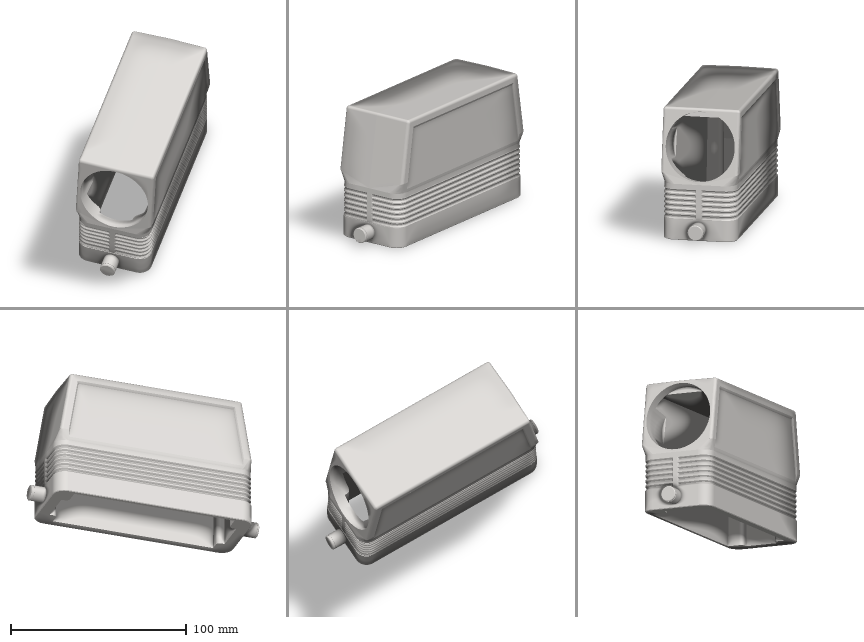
import cadquery as cq
import math

tolerance = 0.01

length = 138.2
hood_width = 45.0
height = 76.0

base_top = 12.2
ribs_top = 30.0
neck_top = 32.8
hood_bottom = 39.1

base_width, base_length = 43.1, 120.2
neck_width, neck_length = 42.5, 119.4
rib_width, rib_length = 43.1, 119.4
corner_radius = 6.9
base_chamfer = 0.4

groove_count = 6
groove_depth = 0.8
groove_floor = 0.7
rib_land = 0.7
groove_pitch = (ribs_top - base_top) / groove_count
band_width = 2.9

end_slope = math.tan(math.radians(9.5))
end_crown = 0.48
roof_crown = 0.21
edge_radius = 1.7

panel_depth = 0.8
panel_top = 71.3
panel_border = 5.5
panel_wall_run = 1.4
panel_side_ratio = 0.7

entry_diameter = 40.4
entry_height = 54.3
entry_rim_depth = 6.9
entry_depth = 20.7
entry_run_out = 6.9

cavity_roof = 69.7
cavity_left = 18.0
cavity_right = 15.5
cavity_draft = 1.2
end_wall = 6.6
post_gap = 19.6
post_top = 59.3
post_radius = 2.3

pin_diameter = 9.0
pin_height = 6.6
pin_groove_diameter = 8.4
pin_groove_width = 0.4
pin_groove_from_tip = 1.2
pin_tip_chamfer = 0.4
pin_neck_diameter = 8.3
pin_neck_length = 0.4
pin_embed = 1.4


def loft_outlines(lower, upper):
    """Straight-sided solid between two (width, depth, radius, z) rounded rectangles."""
    sketches = []
    for width, depth, radius, z in (lower, upper):
        sketch = cq.Sketch().rect(width, depth).vertices().fillet(radius)
        sketches.append(sketch.moved(cq.Location(cq.Vector(0, 0, z))))
    return cq.Workplane("XY").placeSketch(*sketches).loft(ruled=True)


def slab(width, depth, z0, z1):
    """Upright block with the body's rounded corners, from level z0 to z1."""
    return loft_outlines((width, depth, corner_radius, z0), (width, depth, corner_radius, z1))


def loft_polygons(first, second):
    """Flat-sided solid between two polygons given as lists of (x, y, z) corners."""
    wires = []
    for points in (first, second):
        wires.append(cq.Wire.makePolygon([cq.Vector(*point) for point in points], close=True))
    return cq.Workplane(obj=cq.Solid.makeLoft(wires, True))


def end_face_y(z):
    """Distance of the end ridge from the middle of the part at level z."""
    return neck_length / 2 - (z - neck_top) * end_slope


def make_base():
    return slab(base_width, base_length, 0, base_top).faces("<Z").chamfer(base_chamfer)


def make_ribs():
    """Grip zone, stacked one groove at a time from rib top to rib top."""
    outer = (rib_width, rib_length, corner_radius)
    inner = (
        rib_width - 2 * groove_depth,
        rib_length - 2 * groove_depth,
        corner_radius - groove_depth,
    )
    flank = (groove_pitch - groove_floor - rib_land) / 2
    ribs = cq.Workplane("XY")
    for i in range(groove_count):
        z0 = base_top + i * groove_pitch
        z1 = z0 + rib_land / 2
        z2 = z1 + flank
        z3 = z2 + groove_floor
        z4 = z3 + flank
        z5 = z0 + groove_pitch
        levels = [(outer, z0), (outer, z1), (inner, z2), (inner, z3), (outer, z4), (outer, z5)]
        for (low, za), (high, zb) in zip(levels, levels[1:]):
            ribs = ribs.union(loft_outlines((*low, za), (*high, zb)))
    return ribs


def make_band():
    """Plain strip along Y that closes the grooves at the middle of both ends."""
    tip = neck_length / 2
    root = tip - groove_depth
    half = band_width / 2
    foot = half + groove_depth
    outline = [
        (-half, -tip), (half, -tip), (foot, -root), (foot, root),
        (half, tip), (-half, tip), (-foot, root), (-foot, -root),
    ]
    band = cq.Workplane("XY", origin=(0, 0, base_top)).polyline(outline).close()
    return band.extrude(ribs_top - base_top)


def make_hood():
    """Hood with leaning, crowned ends and a crowned roof."""
    half = hood_width / 2

    def plan(z):
        ridge = end_face_y(z)
        side = ridge - end_crown
        return [
            (0, -ridge, z), (half, -side, z), (half, side, z),
            (0, ridge, z), (-half, side, z), (-half, -side, z),
        ]

    body = loft_polygons(plan(neck_top), plan(height))
    eaves = height - roof_crown
    roof_shape = (
        cq.Workplane("XZ")
        .polyline([(-half, neck_top), (half, neck_top), (half, eaves), (0, height), (-half, eaves)])
        .close()
        .extrude(length / 2, both=True)
    )
    body = body.intersect(roof_shape)
    rounded_edges = [edge for edge in body.edges().vals() if is_hood_edge(edge)]
    body = body.newObject(rounded_edges).fillet(edge_radius)
    end_outline = (
        cq.Workplane("XZ")
        .polyline([(0, neck_top), (half, hood_bottom), (half, height), (-half, height), (-half, hood_bottom)])
        .close()
        .extrude(length / 2, both=True)
    )
    return body.intersect(end_outline)


def is_hood_edge(edge):
    """True for the corner edges and the roof rim, false for the bottom rim and middle ridges."""
    middle = edge.Center()
    above_bottom = middle.z > neck_top + tolerance
    off_ridge = abs(middle.x) > tolerance
    return above_bottom and off_ridge


def make_flare():
    """Transition from the rounded neck to the sharper corners of the hood."""
    upper_length = 2 * (end_face_y(hood_bottom) - end_crown)
    return loft_outlines(
        (neck_width, neck_length, corner_radius, neck_top),
        (hood_width, upper_length, edge_radius, hood_bottom),
    )


def make_panel(side):
    """Cutter for the sunk panel on one long side (side = -1 or 1)."""
    outer_x = side * hood_width / 2
    outlines = []
    for x, run in ((outer_x, 0), (outer_x - side * panel_depth, panel_wall_run)):
        top = panel_top - run
        low_y = end_face_y(neck_top) - panel_border - run * panel_side_ratio
        top_y = end_face_y(top) - panel_border - run * panel_side_ratio
        outlines.append([(x, -low_y, neck_top), (x, low_y, neck_top), (x, top_y, top), (x, -top_y, top)])
    return loft_polygons(*outlines)


def make_cavity():
    """Inside space: leaning end walls, with a post in each of the four corners."""
    roof_y = end_face_y(cavity_roof) - end_wall
    floor_y = end_face_y(neck_top) - end_wall
    cavity = (
        cq.Workplane("YZ")
        .polyline([
            (-floor_y, 0), (floor_y, 0), (floor_y, neck_top),
            (roof_y, cavity_roof), (-roof_y, cavity_roof), (-floor_y, neck_top),
        ])
        .close()
        .extrude(hood_width / 2, both=True)
    )
    left_foot = cavity_left + cavity_draft
    right_foot = cavity_right + cavity_draft
    side_walls = (
        cq.Workplane("XZ")
        .polyline([
            (-left_foot, 0), (right_foot, 0),
            (cavity_right, cavity_roof), (-cavity_left, cavity_roof),
        ])
        .close()
        .extrude(length / 2, both=True)
    )
    cavity = cavity.intersect(side_walls)
    post_face = end_face_y(post_top) - end_wall
    post_width = (hood_width - post_gap) / 2
    post_length = floor_y - post_face
    for sx in (-1, 1):
        for sy in (-1, 1):
            post = (
                cq.Workplane("XY")
                .center(sx * (post_gap + post_width) / 2, sy * (post_face + post_length / 2))
                .rect(post_width, post_length)
                .extrude(height)
                .edges("|Z")
                .edges(cq.selectors.NearestToPointSelector((0, 0, height / 2)))
                .fillet(post_radius)
            )
            cavity = cavity.cut(post)
    return cavity


def make_entry():
    """Cutter for the cable entry: full circle through the wall, then only below the roof level."""
    lean = math.atan(end_slope)
    inward = cq.Vector(0, math.cos(lean), -math.sin(lean))
    centre = cq.Vector(0, -end_face_y(entry_height), entry_height)
    start = centre - inward * entry_run_out

    def bore(depth):
        reach = depth + entry_run_out
        return cq.Workplane(obj=cq.Solid.makeCylinder(entry_diameter / 2, reach, start, inward))

    below_roof = cq.Workplane("XY").rect(hood_width, 2 * length).extrude(cavity_roof)
    return bore(entry_rim_depth).union(bore(entry_depth).intersect(below_roof))


def make_pin(side):
    """Locking pin on one end, with a short neck at the wall and a shallow groove near its tip."""
    radius = pin_diameter / 2
    groove_radius = pin_groove_diameter / 2
    neck_radius = pin_neck_diameter / 2
    root = base_length / 2 - pin_embed
    shoulder = base_length / 2 + pin_neck_length
    tip = length / 2
    groove_out = tip - pin_groove_from_tip
    groove_in = groove_out - pin_groove_width
    profile = [
        (0, root), (neck_radius, root), (neck_radius, shoulder), (radius, shoulder),
        (radius, groove_in), (groove_radius, groove_in), (groove_radius, groove_out), (radius, groove_out),
        (radius, tip - pin_tip_chamfer), (radius - pin_tip_chamfer, tip), (0, tip),
    ]
    pin = cq.Workplane("XY").polyline(profile).close().revolve(360, (0, 0, 0), (0, 1, 0))
    if side < 0:
        pin = pin.mirror("XZ")
    return pin.translate((0, 0, pin_height))


result = (
    make_base()
    .union(make_ribs())
    .union(make_band())
    .union(slab(neck_width, neck_length, ribs_top, neck_top))
    .union(make_flare())
    .union(make_hood())
)
for side in (-1, 1):
    result = result.cut(make_panel(side))
result = result.cut(make_cavity()).cut(make_entry())
for side in (-1, 1):
    result = result.union(make_pin(side))